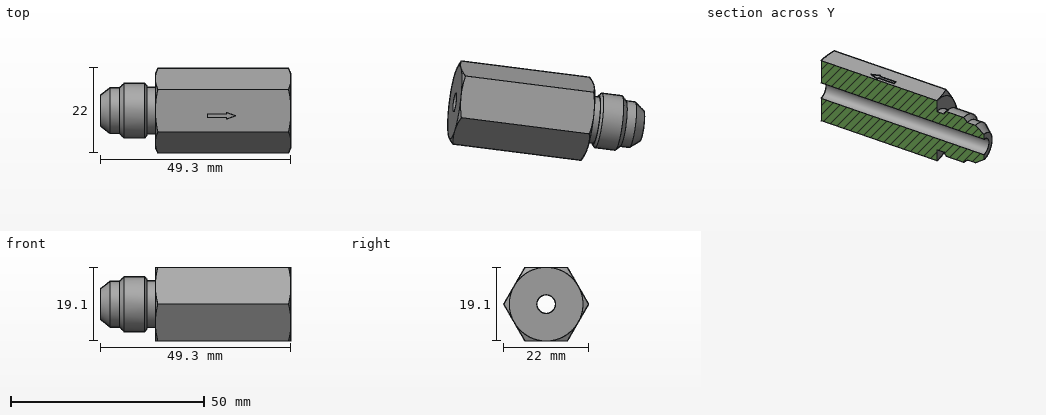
import cadquery as cq
import math

total_length = 49.28
cone_end = 2.54
shoulder_start = 5.0
thread_start = 6.16
thread_end = 11.45
neck_start = 12.1
hex_start = 14.22

bore_diameter = 4.75
nose_tip_diameter = 8.0
nose_diameter = 11.96
neck_diameter = 12.17
thread_diameter = 14.28
thread_back_diameter = 12.75

hex_across_flats = 19.05
hex_across_corners = hex_across_flats / math.cos(math.radians(30))
hex_end_face_diameter = hex_across_flats
hex_chamfer_depth = 0.64

arrow_tail_x = 27.75
arrow_length = 7.25
arrow_center_y = -1.32
arrow_head_length = 2.4
arrow_head_width = 1.7
arrow_shaft_width = 0.84
arrow_depth = 0.15


def make_male_end():
    """Flared nose, threaded shank and relief neck, revolved about X."""
    outline = [
        (0, 0),
        (0, nose_tip_diameter / 2),
        (cone_end, nose_diameter / 2),
        (shoulder_start, nose_diameter / 2),
        (thread_start, thread_diameter / 2),
        (thread_end, thread_diameter / 2),
        (neck_start, thread_back_diameter / 2),
        (neck_start, neck_diameter / 2),
        (hex_start, neck_diameter / 2),
        (hex_start, 0),
    ]
    return cq.Workplane("XY").polyline(outline).close().revolve(360, (0, 0, 0), (1, 0, 0))


def make_hex_body():
    """Hexagonal bar whose corners are turned off conically at both ends."""
    bar = (
        cq.Workplane("YZ", origin=(hex_start, 0, 0))
        .polygon(6, hex_across_corners)
        .extrude(total_length - hex_start)
    )
    envelope_outline = [
        (hex_start, 0),
        (hex_start, hex_end_face_diameter / 2),
        (hex_start + hex_chamfer_depth, hex_across_corners / 2),
        (total_length - hex_chamfer_depth, hex_across_corners / 2),
        (total_length, hex_end_face_diameter / 2),
        (total_length, 0),
    ]
    envelope = cq.Workplane("XY").polyline(envelope_outline).close().revolve(360, (0, 0, 0), (1, 0, 0))
    return bar.intersect(envelope)


def make_bore():
    """Flow passage through the whole part."""
    return cq.Workplane("YZ").circle(bore_diameter / 2).extrude(total_length)


def make_flow_arrow():
    """Shallow arrow-shaped pocket in the +Z flat, outlined from the middle of its tail."""
    shaft_length = arrow_length - arrow_head_length
    outline = [
        (0, -arrow_shaft_width / 2),
        (shaft_length, -arrow_shaft_width / 2),
        (shaft_length, -arrow_head_width / 2),
        (arrow_length, 0),
        (shaft_length, arrow_head_width / 2),
        (shaft_length, arrow_shaft_width / 2),
        (0, arrow_shaft_width / 2),
    ]
    top_flat = cq.Workplane("XY", origin=(arrow_tail_x, arrow_center_y, hex_across_flats / 2))
    return top_flat.polyline(outline).close().extrude(-arrow_depth)


result = make_male_end().union(make_hex_body()).cut(make_bore()).cut(make_flow_arrow())